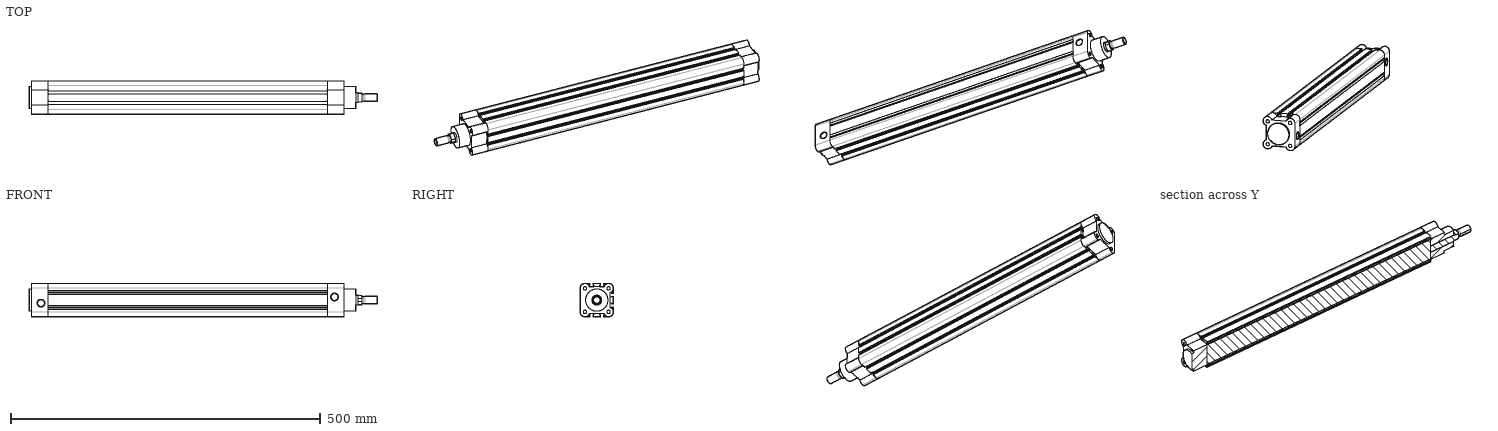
import cadquery as cq
import math


body_width = 54.0
half_width = body_width / 2
corner_radius = 7.7
post_center = half_width - corner_radius

cap_length = 27.2
body_length = 505.5
barrel_length = body_length - 2 * cap_length
spigot_diameter = 36.0
rear_spigot_length = 3.7
front_spigot_length = 19.0

recess_floor = 21.7
screw_offset = 19.0
screw_hole_diameter = 5.5
screw_hole_depth = 16.0
port_diameter = 11.0
port_chamfer = 0.8
port_depth = 12.0
port_inset = 15.6
port_offset = 5.0

slot_inner = 6.0
slot_outer = 11.0
slot_depth = 6.0
lip_thickness = 3.0
undercut = 1.0

groove_center = 12.0
groove_half_width = 3.1
groove_floor_half_width = 0.8
groove_depth = groove_half_width - groove_floor_half_width

rod_diameter = 16.0
rod_neck_length = 3.0
flat_length = 6.8
wrench_diameter = 15.6
flat_spacing = 14.75
relief_length = 4.5
relief_diameter = 11.5
thread_lead_in = 2.2
thread_diameter = 12.5
tip_chamfer = 1.0
overall_length = 563.0

front_face = body_length
spigot_end = body_length + front_spigot_length
flat_start = spigot_end + rod_neck_length
flat_end = flat_start + flat_length
thread_start = flat_end + relief_length
rod_tip = overall_length - rear_spigot_length
rod_base = body_length - cap_length


def cross_plane(x):
    """Plane across the axis at x, with local x along +Y and local y along +Z."""
    return cq.Workplane("YZ", origin=(x, 0, 0))


def rounded_bar(x, length):
    """Square bar with rounded corners along the axis."""
    bar = cross_plane(x).rect(body_width, body_width).extrude(length)
    return bar.edges("|X").fillet(corner_radius)


def side_recess(x, length, turn):
    """Recess between two round corner posts on the +Z side, turned about the axis."""
    drop = post_center - recess_floor
    floor_half = post_center - math.sqrt(corner_radius**2 - drop**2)
    bulge = corner_radius * math.sqrt(0.5)
    arc_y = post_center - bulge
    arc_z = post_center + bulge
    cutter = (
        cross_plane(x)
        .moveTo(-floor_half, recess_floor)
        .lineTo(floor_half, recess_floor)
        .threePointArc((arc_y, arc_z), (post_center, half_width))
        .lineTo(-post_center, half_width)
        .threePointArc((-arc_y, arc_z), (-floor_half, recess_floor))
        .close()
        .extrude(length)
    )
    return cutter.rotate((0, 0, 0), (1, 0, 0), turn)


def port(x, z):
    """Blind air port with a chamfered mouth, drilled from the -Y face."""
    mouth_plane = cq.Workplane("XZ", origin=(x, -half_width, z))
    bore = mouth_plane.circle(port_diameter / 2).extrude(-port_depth)
    mouth = (
        mouth_plane
        .circle(port_diameter / 2 + port_chamfer)
        .workplane(offset=-port_chamfer)
        .circle(port_diameter / 2)
        .loft()
    )
    return bore.union(mouth)


def make_cap(x, outer_face, inward, port_z):
    """End cap from x, with screw holes and port placed from its outer face."""
    cap = rounded_bar(x, cap_length)
    for turn in (0, -90, 180):
        cap = cap.cut(side_recess(x, cap_length, turn))
    screw_holes = (
        cross_plane(outer_face)
        .rect(2 * screw_offset, 2 * screw_offset, forConstruction=True)
        .vertices()
        .circle(screw_hole_diameter / 2)
        .extrude(inward * screw_hole_depth)
    )
    return cap.cut(screw_holes).cut(port(outer_face + inward * port_inset, port_z))


def make_rear_cap():
    cap = make_cap(0, 0, 1, -port_offset)
    spigot = cross_plane(0).circle(spigot_diameter / 2).extrude(-rear_spigot_length)
    return cap.union(spigot)


def make_front_cap():
    cap = make_cap(rod_base, front_face, -1, port_offset)
    spigot = cross_plane(front_face).circle(spigot_diameter / 2).extrude(front_spigot_length)
    rod_bore = cross_plane(rod_base).circle(rod_diameter / 2).extrude(spigot_end - rod_base)
    return cap.union(spigot).cut(rod_bore)


def sensor_slot(side, turn):
    """Undercut slot in the +Z face on one side of its middle, turned about the axis."""
    middle = side * (slot_inner + slot_outer) / 2
    opening_width = slot_outer - slot_inner
    channel_depth = slot_depth - lip_thickness
    opening = (
        cross_plane(cap_length)
        .center(middle, half_width - slot_depth / 2)
        .rect(opening_width, slot_depth)
        .extrude(barrel_length)
    )
    channel = (
        cross_plane(cap_length)
        .center(middle, half_width - lip_thickness - channel_depth / 2)
        .rect(opening_width + 2 * undercut, channel_depth)
        .extrude(barrel_length)
    )
    return opening.union(channel).rotate((0, 0, 0), (1, 0, 0), turn)


def sloped_groove(side):
    """Groove with sloped walls along the -Y face."""
    middle = side * groove_center
    return (
        cross_plane(cap_length)
        .moveTo(-half_width, middle - groove_half_width)
        .lineTo(-half_width, middle + groove_half_width)
        .lineTo(groove_depth - half_width, middle + groove_floor_half_width)
        .lineTo(groove_depth - half_width, middle - groove_floor_half_width)
        .close()
        .extrude(barrel_length)
    )


def make_barrel():
    barrel = rounded_bar(cap_length, barrel_length)
    for side in (-1, 1):
        barrel = barrel.cut(sloped_groove(side))
        for turn in (0, -90, 180):
            barrel = barrel.cut(sensor_slot(side, turn))
    return barrel


def make_rod():
    """Rod turned to its stepped profile, with two wrench flats facing +Y and -Y."""
    rod_radius = rod_diameter / 2
    wrench_radius = wrench_diameter / 2
    relief_radius = relief_diameter / 2
    thread_radius = thread_diameter / 2
    rod = (
        cq.Workplane("XY")
        .moveTo(rod_base, 0)
        .lineTo(rod_base, rod_radius)
        .lineTo(flat_start, rod_radius)
        .lineTo(flat_start, wrench_radius)
        .lineTo(flat_end, wrench_radius)
        .lineTo(flat_end, relief_radius)
        .lineTo(thread_start - thread_lead_in, relief_radius)
        .lineTo(thread_start, thread_radius)
        .lineTo(rod_tip - tip_chamfer, thread_radius)
        .lineTo(rod_tip, thread_radius - tip_chamfer)
        .lineTo(rod_tip, 0)
        .close()
        .revolve(360, (0, 0, 0), (1, 0, 0))
    )
    for side in (-1, 1):
        flat_cutter = cq.Workplane("XY").box(flat_length, rod_diameter, rod_diameter)
        flat_y = side * (flat_spacing + rod_diameter) / 2
        rod = rod.cut(flat_cutter.translate((flat_start + flat_length / 2, flat_y, 0)))
    return rod


rear_cap = make_rear_cap()
barrel = make_barrel()
front_cap = make_front_cap()
rod = make_rod()

result = cq.Compound.makeCompound([rear_cap.val(), barrel.val(), front_cap.val(), rod.val()])